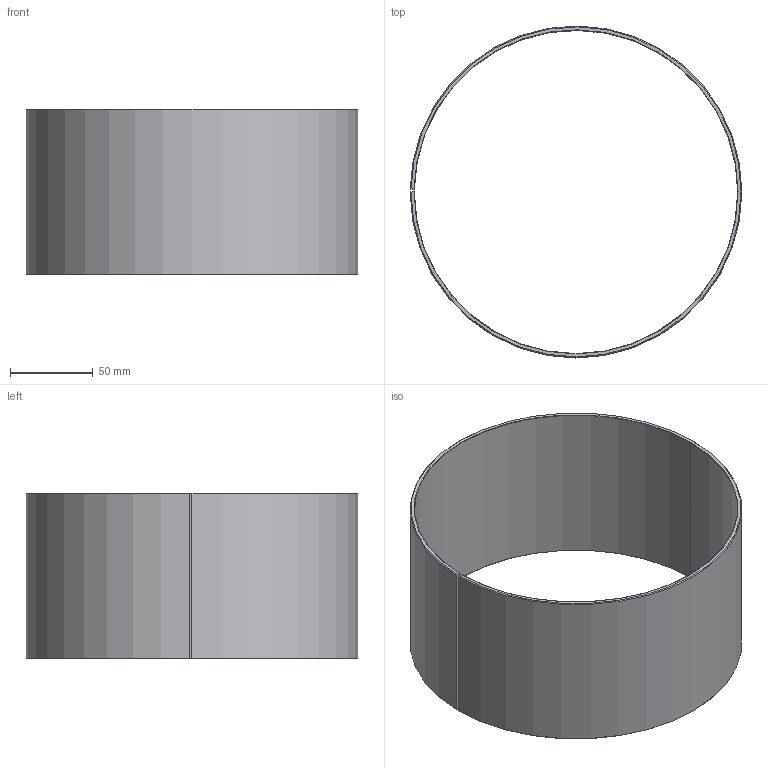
import cadquery as cq
import math

outer_diameter = 200.0
wall_thickness = 2.5
height = 100.0
outer_radius = outer_diameter / 2
inner_radius = outer_radius - wall_thickness

outer_chamfer = 0.5
inner_chamfer = 0.2

slit_angle = 1.0


def make_ring():
    """Thin-walled tube standing on the XY plane, with all four rim edges chamfered."""
    ring = cq.Workplane("XY").circle(outer_radius).circle(inner_radius).extrude(height)
    for end_face in ("<Z", ">Z"):
        outer_edge = cq.selectors.RadiusNthSelector(-1)
        inner_edge = cq.selectors.RadiusNthSelector(0)
        ring = ring.faces(end_face).edges(outer_edge).chamfer(outer_chamfer)
        ring = ring.faces(end_face).edges(inner_edge).chamfer(inner_chamfer)
    return ring


def make_slit():
    """Full-height wedge from the ring axis out past the -X wall, one side on the XZ plane."""
    reach = outer_diameter
    opening = reach * math.tan(math.radians(slit_angle))
    return (
        cq.Workplane("XY")
        .polyline([(0, 0), (-reach, 0), (-reach, opening)])
        .close()
        .extrude(height)
    )


result = make_ring().cut(make_slit())